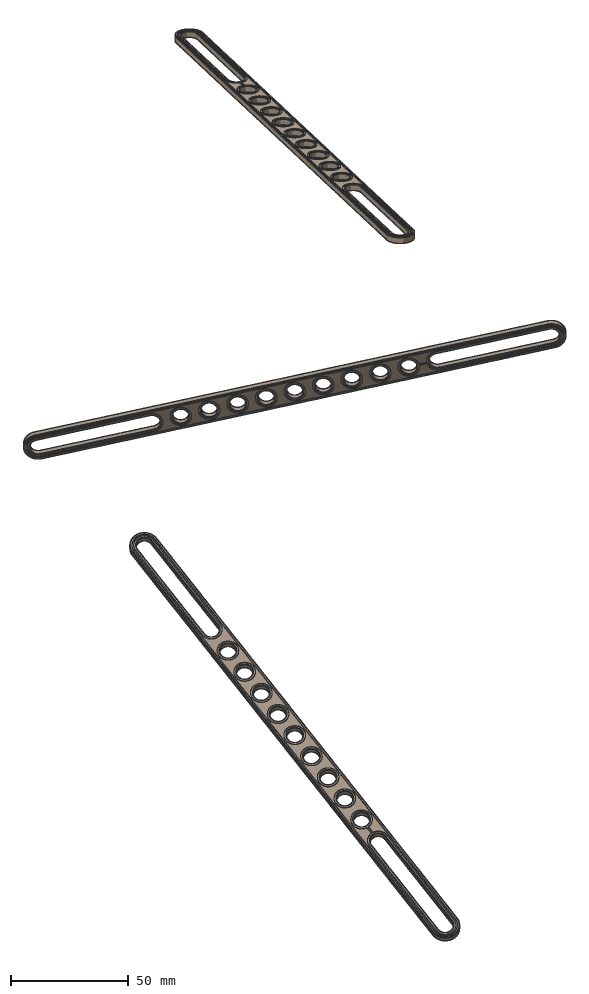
import cadquery as cq

length = 237.5
module_count = 19
thickness = 3.0
hole_count = 9
rim_gap = 3.3
rim_width = 1.1
border_width = 1.0
recess_depth = 0.2
edge_chamfer = 0.28
rib_width = 0.7

pitch = length / module_count
width = pitch
rim_diameter = pitch - rim_gap
hole_diameter = rim_diameter - 2 * rim_width
hole_xs = [(index - (hole_count - 1) / 2) * pitch for index in range(hole_count)]
slot_inner_x = (hole_count + 1) / 2 * pitch
slot_outer_x = (length - width) / 2
slot_travel = slot_outer_x - slot_inner_x
slot_middle_x = (slot_inner_x + slot_outer_x) / 2
rib_x = (hole_xs[0] - slot_inner_x) / 2
bottom_z = -thickness / 2
top_z = thickness / 2


def make_openings(diameter, base_z, height):
    """Prisms at the row of round holes and at the two long slots."""
    plane = cq.Workplane("XY", origin=(0, 0, base_z))
    holes = plane.pushPoints([(x, 0) for x in hole_xs]).circle(diameter / 2).extrude(height)
    slot_centers = [(-slot_middle_x, 0), (slot_middle_x, 0)]
    slots = plane.pushPoints(slot_centers).slot2D(slot_travel + diameter, diameter).extrude(height)
    return holes.union(slots)


def make_outline(inset, base_z, height):
    """Prism with full-round ends, inset evenly from the outline of the bar."""
    plane = cq.Workplane("XY", origin=(0, 0, base_z))
    return plane.slot2D(length - 2 * inset, width - 2 * inset).extrude(height)


def make_recess(base_z):
    """Shallow cutter leaving the border, the rims and one rib between the first slot and hole."""
    rims = make_openings(rim_diameter, base_z, recess_depth)
    rib_plane = cq.Workplane("XY", origin=(rib_x, 0, base_z))
    rib = rib_plane.rect(rim_gap + rim_width, rib_width).extrude(recess_depth)
    return make_outline(border_width, base_z, recess_depth).cut(rims).cut(rib)


result = make_outline(0, bottom_z, thickness).cut(make_openings(hole_diameter, bottom_z, thickness))
result = result.faces("|Z").edges().chamfer(edge_chamfer)

for recess_z in (bottom_z, top_z - recess_depth):
    result = result.cut(make_recess(recess_z))